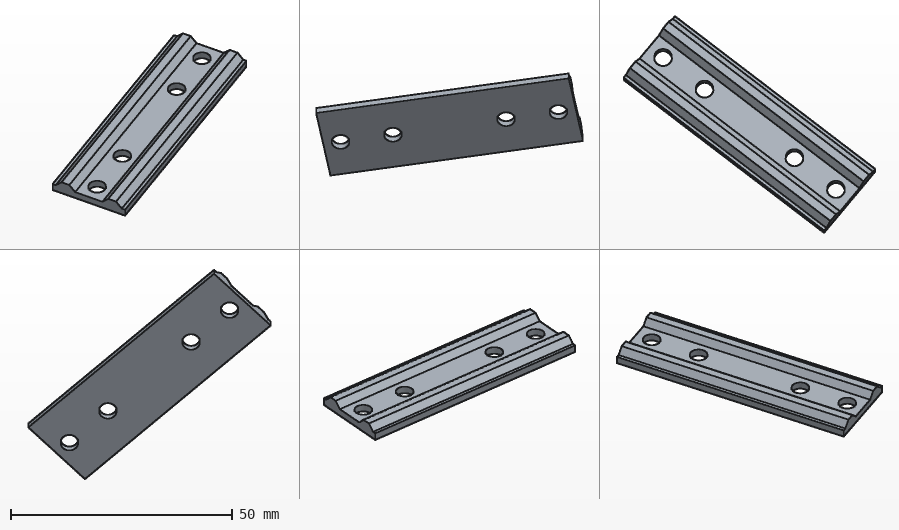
import cadquery as cq

plate_width = 18.6
plate_length = 58.0
total_height = 3.3

ridge_height = 1.5
ridge_offset = 6.0
ridge_top_width = 2.0
ridge_base_width = ridge_top_width + 2 * ridge_height
plate_thickness = total_height - ridge_height

hole_diameter = 4.0
inner_hole_offset = 13.0
outer_hole_offset = 25.0


def make_plate():
    """Flat plate centred in X and Y, resting on Z = 0."""
    return cq.Workplane("XY").box(plate_width, plate_length, plate_thickness, centered=(True, True, False))


def make_ridge(center_x):
    """Full-length trapezoidal ridge standing on the plate."""
    half_base = ridge_base_width / 2
    half_top = ridge_top_width / 2
    profile = [
        (center_x - half_base, plate_thickness),
        (center_x + half_base, plate_thickness),
        (center_x + half_top, total_height),
        (center_x - half_top, total_height),
    ]
    return cq.Workplane("XZ").polyline(profile).close().extrude(plate_length / 2, both=True)


def make_holes():
    """Cylinders that cut the four through holes."""
    offsets = (inner_hole_offset, outer_hole_offset)
    centers = [(0, side * offset) for side in (-1, 1) for offset in offsets]
    return cq.Workplane("XY").pushPoints(centers).circle(hole_diameter / 2).extrude(total_height)


result = make_plate()
for side in (-1, 1):
    result = result.union(make_ridge(side * ridge_offset))
result = result.cut(make_holes())